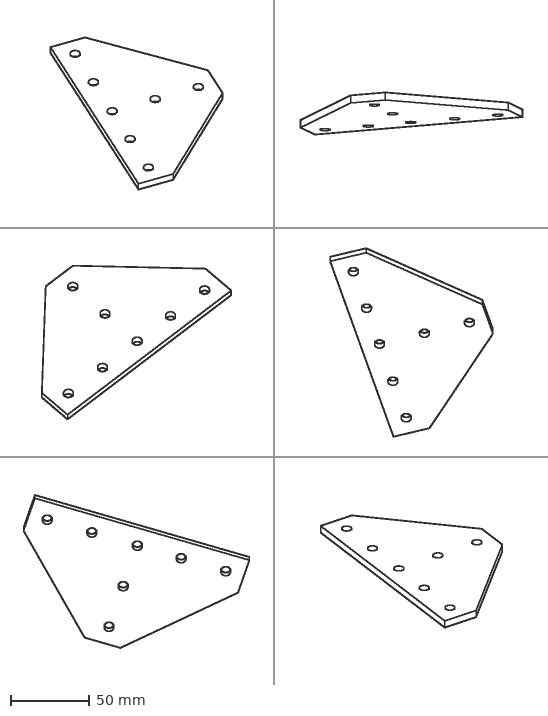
import cadquery as cq

length = 144.0
width = 84.0
thickness = 5.0

end_width = 24.0

hole_diameter = 6.3
hole_pitch = 30.0
hole_inset = end_width / 2
column_offset = 0.6

half_length = length / 2
half_end = end_width / 2

outline = [
    (-half_length, 0),
    (half_length, 0),
    (half_length, end_width),
    (half_end, width),
    (-half_end, width),
    (-half_length, end_width),
]
plate = cq.Workplane("XY").polyline(outline).close().extrude(thickness)

base_holes = [(i * hole_pitch, hole_inset) for i in (-2, -1, 1, 2)]
middle_column = [(column_offset, hole_inset + i * hole_pitch) for i in range(3)]

result = (
    plate.faces(">Z")
    .workplane(origin=(0, 0, thickness))
    .pushPoints(base_holes + middle_column)
    .hole(hole_diameter)
)